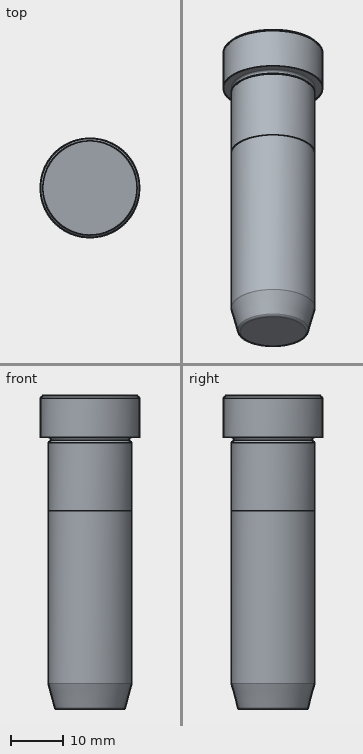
import cadquery as cq
import math

total_length = 60.0

head_radius = 19.0 / 2
head_height = 8.0
head_chamfer = 0.5

shank_radius = 16.0 / 2
split_depth = 22.0

groove_depth = 0.5
groove_fillet = 0.5
groove_floor_height = 0.1
groove_runout = 0.4

taper_length = 5.0
taper_angle = 15.0
tip_fillet = 0.5

head_underside_z = total_length - head_height
split_z = total_length - split_depth
groove_radius = shank_radius - groove_depth
groove_floor_top_z = head_underside_z - groove_fillet
groove_floor_bottom_z = groove_floor_top_z - groove_floor_height
shank_top_z = groove_floor_bottom_z - groove_runout
tip_radius = shank_radius - taper_length * math.tan(math.radians(taper_angle))


def make_headed_section():
    """Head, relief groove and plain shank, revolved from a half profile."""
    fillet_center_r = groove_radius + groove_fillet
    fillet_mid_offset = groove_fillet * math.sqrt(0.5)
    fillet_mid = (fillet_center_r - fillet_mid_offset, groove_floor_top_z + fillet_mid_offset)
    return (
        cq.Workplane("XZ")
        .moveTo(0, split_z)
        .lineTo(shank_radius, split_z)
        .lineTo(shank_radius, shank_top_z)
        .lineTo(groove_radius, groove_floor_bottom_z)
        .lineTo(groove_radius, groove_floor_top_z)
        .threePointArc(fillet_mid, (fillet_center_r, head_underside_z))
        .lineTo(head_radius, head_underside_z)
        .lineTo(head_radius, total_length - head_chamfer)
        .lineTo(head_radius - head_chamfer, total_length)
        .lineTo(0, total_length)
        .close()
        .revolve(360, (0, 0, 0), (0, 1, 0))
    )


def make_tapered_section():
    """Plain shank ending in a conical lead-in with a rounded tip."""
    return (
        cq.Workplane("XZ")
        .lineTo(tip_radius, 0)
        .lineTo(shank_radius, taper_length)
        .lineTo(shank_radius, split_z)
        .lineTo(0, split_z)
        .close()
        .revolve(360, (0, 0, 0), (0, 1, 0))
        .edges("<Z")
        .fillet(tip_fillet)
    )


headed_section = make_headed_section()
tapered_section = make_tapered_section()

result = cq.Compound.makeCompound([headed_section.val(), tapered_section.val()])